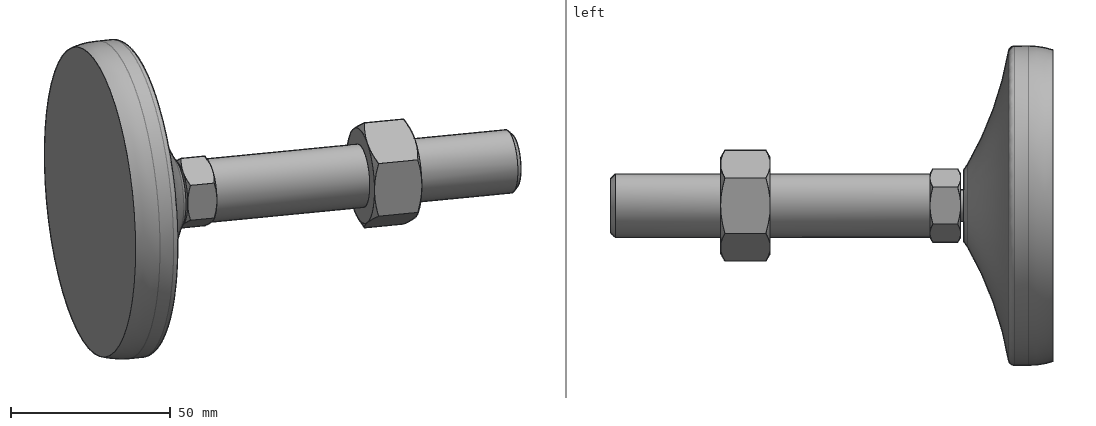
import cadquery as cq
import math

TOTAL_LENGTH = 138.5

FOOT_RADIUS = 50.0
SOLE_RADIUS = 48.8
BAND_START = 7.6
SHOULDER_Y = 13.7
RIM_FILLET = 2.0
SELECTION_MARGIN = 0.1
DOME_TOP_RADIUS = 13.0
DOME_TOP_Y = 26.7
DOME_SAG = 1.8
CROWN_RADIUS = 11.2
CROWN_Y = 28.0

NECK_RADIUS = 5.0
ROD_DIAMETER = 20.0
ROD_CHAMFER = 1.5

SPINDLE_HEX_START = 29.0
SPINDLE_HEX_HEIGHT = 9.5
SPINDLE_HEX_FLATS = ROD_DIAMETER
NUT_START = 88.5
NUT_HEIGHT = 15.5
NUT_FLATS = 30.0
HEX_CHAMFER_ANGLE = 30.0


def cylinder(radius, start, end):
    """Solid cylinder along Y."""
    return cq.Workplane("XZ", origin=(0, start, 0)).circle(radius).extrude(start - end)


def revolve_about_y(profile):
    return profile.close().revolve(360, (0, 0), (0, 1))


def foot_plate():
    """Foot with a curved lower rim and a concave dome."""
    chord_x = FOOT_RADIUS - DOME_TOP_RADIUS
    chord_y = DOME_TOP_Y - SHOULDER_Y
    chord = math.hypot(chord_x, chord_y)
    dome_middle = (
        (FOOT_RADIUS + DOME_TOP_RADIUS) / 2 - DOME_SAG * chord_y / chord,
        (SHOULDER_Y + DOME_TOP_Y) / 2 - DOME_SAG * chord_x / chord,
    )
    profile = (
        cq.Workplane("XY")
        .lineTo(0, CROWN_Y)
        .lineTo(CROWN_RADIUS, CROWN_Y)
        .lineTo(DOME_TOP_RADIUS, DOME_TOP_Y)
        .threePointArc(dome_middle, (FOOT_RADIUS, SHOULDER_Y))
        .lineTo(FOOT_RADIUS, BAND_START)
        .tangentArcPoint((SOLE_RADIUS, 0), relative=False)
    )
    shoulder = cq.selectors.BoxSelector(
        (-2 * FOOT_RADIUS, SHOULDER_Y - SELECTION_MARGIN, -2 * FOOT_RADIUS),
        (2 * FOOT_RADIUS, SHOULDER_Y + SELECTION_MARGIN, 2 * FOOT_RADIUS),
        boundingbox=True,
    )
    return revolve_about_y(profile).edges(shoulder).fillet(RIM_FILLET)


def chamfered_hexagon(flats, start, height):
    """Hexagon along Y whose corners are turned off by a cone at both ends."""
    flat_radius = flats / 2
    corner_radius = flat_radius / math.cos(math.pi / 6)
    chamfer_height = (corner_radius - flat_radius) * math.tan(math.radians(HEX_CHAMFER_ANGLE))
    end = start + height
    prism = (
        cq.Workplane("XZ", origin=(0, start, 0))
        .transformed(rotate=(0, 0, 90))
        .polygon(6, 2 * corner_radius)
        .extrude(-height)
    )
    envelope = (
        cq.Workplane("XY")
        .moveTo(0, start)
        .lineTo(flat_radius, start)
        .lineTo(corner_radius, start + chamfer_height)
        .lineTo(corner_radius, end - chamfer_height)
        .lineTo(flat_radius, end)
        .lineTo(0, end)
    )
    return prism.intersect(revolve_about_y(envelope))


def spindle():
    """Neck, wrench hexagon and rod with a chamfered tip."""
    hex_end = SPINDLE_HEX_START + SPINDLE_HEX_HEIGHT
    neck = cylinder(NECK_RADIUS, CROWN_Y, SPINDLE_HEX_START)
    wrench_hex = chamfered_hexagon(SPINDLE_HEX_FLATS, SPINDLE_HEX_START, SPINDLE_HEX_HEIGHT)
    rod = cylinder(ROD_DIAMETER / 2, hex_end, TOTAL_LENGTH).edges(">Y").chamfer(ROD_CHAMFER)
    return neck.union(wrench_hex).union(rod)


lock_nut = chamfered_hexagon(NUT_FLATS, NUT_START, NUT_HEIGHT)
result = foot_plate().union(spindle()).union(lock_nut)